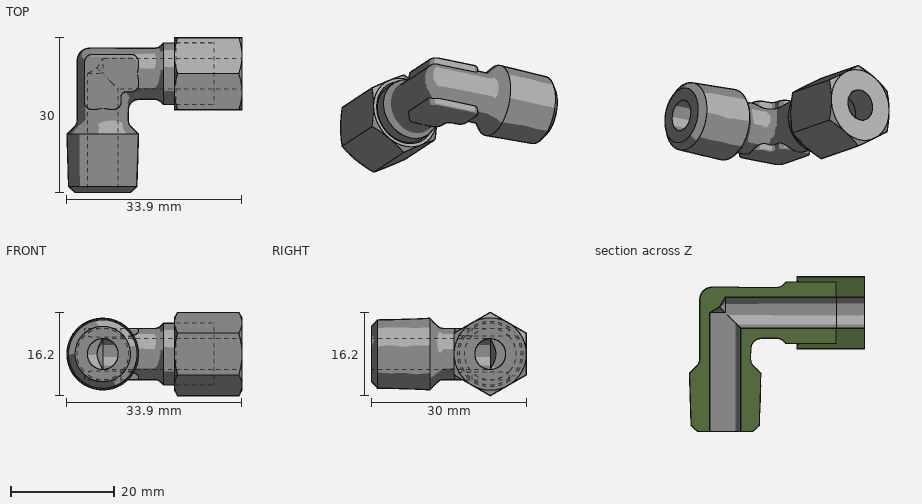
import cadquery as cq
import math


arm_radius = 5.0
bore_radius = 3.0
drill_tip_angle = 120
neck_fillet = 1.5
shoulder_slope = 45
outer_bend_radius = 2.5
inner_bend_fillet = 2.0

stud_radius = 6.95
stud_start = 11.7
stud_taper_end = 21.85
stud_length = 23.0
stud_taper = 1 / 16
stud_tip_radius = 5.35

collar_radius = 6.0
collar_start = 11.75
collar_end = 21.5

pad_height = 5.0
pad_inner_reach = 3.53
pad_outer_reach = 6.95
pad_back_draft = 8
pad_corner_radius = 1.5
pad_notch_radius = 1.0
pad_edge_fillet = 0.3

nut_flats = 14.0
nut_start = 13.87
nut_end = 26.95
nut_chamfer_angle = 30
nut_countersink = 0.35


def neck_points(shoulder_start, shoulder_radius):
    """Points (radius, distance) of the neck fillet and the sloping shoulder that follows it."""
    slope = math.radians(shoulder_slope)
    half_slope = slope / 2
    fillet_rise = neck_fillet * (1 - math.cos(slope))
    fillet_end = shoulder_start - (shoulder_radius - arm_radius - fillet_rise) / math.tan(slope)
    fillet_start = fillet_end - neck_fillet * math.sin(slope)
    return {
        "start": (arm_radius, fillet_start),
        "middle": (
            arm_radius + neck_fillet * (1 - math.cos(half_slope)),
            fillet_start + neck_fillet * math.sin(half_slope),
        ),
        "end": (arm_radius + fillet_rise, fillet_end),
        "shoulder": (shoulder_radius, shoulder_start),
    }


def turned_arm(neck, tip_outline):
    """Solid arm turned about the Y axis, toward +Y, from the start of the bend to its free end."""
    tip_distance = tip_outline[-1][1]
    return (
        cq.Workplane("XY")
        .moveTo(0, -outer_bend_radius)
        .lineTo(arm_radius, -outer_bend_radius)
        .lineTo(*neck["start"])
        .threePointArc(neck["middle"], neck["end"])
        .lineTo(*neck["shoulder"])
        .polyline(tip_outline, includeCurrent=True)
        .lineTo(0, tip_distance)
        .close()
        .revolve(360, (0, 0), (0, 1))
    )


def stud_arm():
    taper_end_radius = stud_radius - stud_taper * (stud_taper_end - stud_start) / 2
    tip_outline = [(taper_end_radius, stud_taper_end), (stud_tip_radius, stud_length)]
    arm = turned_arm(neck_points(stud_start, stud_radius), tip_outline)
    return arm.rotate((0, 0, 0), (0, 0, 1), 180)


def tube_arm():
    tip_outline = [(collar_radius, collar_end)]
    arm = turned_arm(neck_points(collar_start, collar_radius), tip_outline)
    return arm.rotate((0, 0, 0), (0, 0, 1), -90)


def outer_bend():
    """Outer corner of the elbow: the outermost segment of the arm section swung through 90 degrees."""
    half_chord = math.sqrt(arm_radius**2 - outer_bend_radius**2)
    return (
        cq.Workplane("XZ", origin=(0, outer_bend_radius, 0))
        .moveTo(-outer_bend_radius, -half_chord)
        .threePointArc((-arm_radius, 0), (-outer_bend_radius, half_chord))
        .close()
        .revolve(90, (-outer_bend_radius, half_chord), (-outer_bend_radius, -half_chord))
    )


def upper_pad():
    """L-shaped pad block from the plane of the axes up to the flat, with a sloping wall on the +Y side."""
    back_base = pad_inner_reach + pad_height * math.tan(math.radians(pad_back_draft))
    outline = [
        (-pad_inner_reach, back_base),
        (pad_outer_reach, back_base),
        (pad_outer_reach, -pad_inner_reach),
        (pad_inner_reach, -pad_inner_reach),
        (pad_inner_reach, -pad_outer_reach),
        (-pad_inner_reach, -pad_outer_reach),
    ]
    side_section = [
        (-pad_outer_reach, 0),
        (back_base, 0),
        (pad_inner_reach, pad_height),
        (-pad_outer_reach, pad_height),
    ]
    block = cq.Workplane("XY").polyline(outline).close().extrude(pad_height)
    side_prism = cq.Workplane("YZ").polyline(side_section).close().extrude(pad_outer_reach, both=True)
    block = block.intersect(side_prism)
    for x, y in outline:
        is_notch = x > 0 and x == -y
        corner_edge = cq.selectors.NearestToPointSelector((x, y, pad_height / 2))
        block = block.edges(corner_edge).fillet(pad_notch_radius if is_notch else pad_corner_radius)
    return block.faces(">Z").edges().fillet(pad_edge_fillet)


def drilled_bore(length):
    """Drill shape about the Y axis: full radius up to the axis crossing, with a conical tip beyond it."""
    tip_length = bore_radius / math.tan(math.radians(drill_tip_angle / 2))
    outline = [(0, -length), (bore_radius, -length), (bore_radius, 0), (0, tip_length)]
    return cq.Workplane("XY").polyline(outline).close().revolve(360, (0, 0), (0, 1))


def make_elbow():
    elbow = stud_arm().union(tube_arm()).union(outer_bend())
    pad = upper_pad()
    elbow = elbow.union(pad).union(pad.mirror("XY"))
    inner_edge = cq.selectors.NearestToPointSelector((arm_radius, -arm_radius, 0))
    elbow = elbow.edges(inner_edge).fillet(inner_bend_fillet)
    stud_bore = drilled_bore(stud_length)
    tube_bore = drilled_bore(collar_end).rotate((0, 0, 0), (0, 0, 1), 90)
    return elbow.cut(stud_bore).cut(tube_bore)


def make_nut():
    corner_radius = nut_flats / math.sqrt(3)
    chamfer_length = (corner_radius - nut_flats / 2) * math.tan(math.radians(nut_chamfer_angle))
    hexagon = (
        cq.Workplane("YZ", origin=(nut_start, 0, 0))
        .polygon(6, 2 * corner_radius)
        .extrude(nut_end - nut_start)
        .rotate((0, 0, 0), (1, 0, 0), 90)
    )
    envelope = (
        cq.Workplane("XY")
        .moveTo(nut_start, 0)
        .lineTo(nut_start, nut_flats / 2)
        .lineTo(nut_start + chamfer_length, corner_radius)
        .lineTo(nut_end - chamfer_length, corner_radius)
        .lineTo(nut_end, nut_flats / 2)
        .lineTo(nut_end, 0)
        .close()
        .revolve(360, (0, 0), (1, 0))
    )
    cavity = (
        cq.Workplane("XY")
        .moveTo(nut_start, 0)
        .lineTo(nut_start, collar_radius + nut_countersink)
        .lineTo(nut_start + nut_countersink, collar_radius)
        .lineTo(collar_end, collar_radius)
        .lineTo(collar_end, bore_radius)
        .lineTo(nut_end, bore_radius)
        .lineTo(nut_end, 0)
        .close()
        .revolve(360, (0, 0), (1, 0))
    )
    return hexagon.intersect(envelope).cut(cavity)


elbow = make_elbow()
nut = make_nut()
result = cq.Compound.makeCompound([elbow.val(), nut.val()])